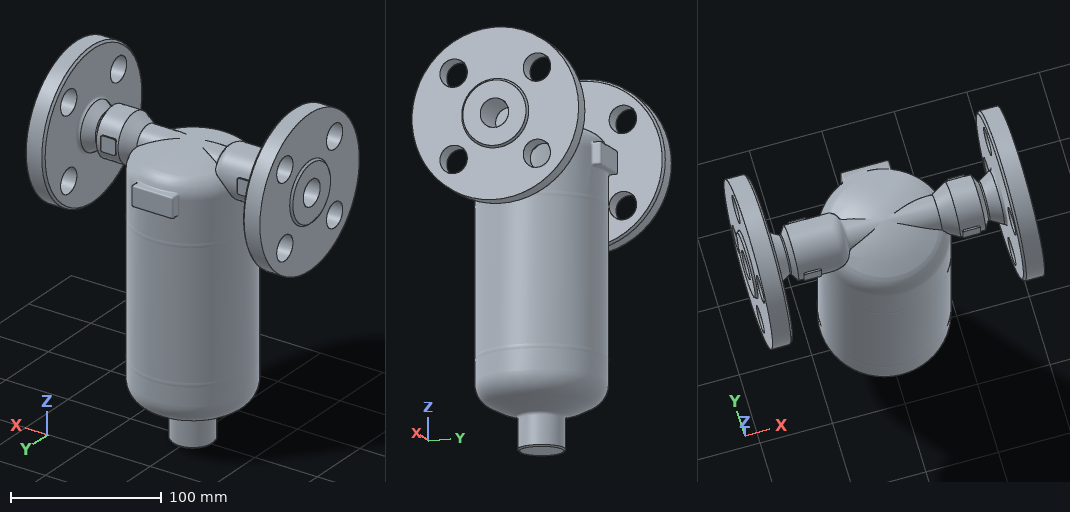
import cadquery as cq
import math

FLANGE_DIAMETER = 117.0
TOTAL_HEIGHT = 268.5
PIPE_AXIS_Z = TOTAL_HEIGHT - FLANGE_DIAMETER / 2

VESSEL_RADIUS = 89.0 / 2
KNUCKLE_RADIUS = 16.0
CROWN_RADIUS = 72.5
LOWER_KNUCKLE_Z = 45.5
DRAIN_RADIUS = 32.0 / 2
DRAIN_CHAMFER = 1.0
DRAIN_FILLET = 2.7
WELD_RADIUS = 89.1 / 2
WELD_WIDTH = 3.2
WELD_CENTERS_Z = (61.8, 165.5)

CROWN_ANGLE = math.asin((VESSEL_RADIUS - KNUCKLE_RADIUS) / (CROWN_RADIUS - KNUCKLE_RADIUS))
CROWN_EDGE_RADIUS = CROWN_RADIUS * math.sin(CROWN_ANGLE)
KNUCKLE_HEIGHT = KNUCKLE_RADIUS * math.cos(CROWN_ANGLE)
CROWN_CENTER_DROP = (CROWN_RADIUS - KNUCKLE_RADIUS) * math.cos(CROWN_ANGLE)
HEAD_HEIGHT = CROWN_RADIUS - CROWN_CENTER_DROP

BAR_RADIUS = 13.0
UPPER_KNUCKLE_Z = PIPE_AXIS_Z + BAR_RADIUS - HEAD_HEIGHT

FACE_END = 191.0 / 2
RAISED_FACE_HEIGHT = 1.5
RAISED_FACE_RADIUS = 44.3 / 2
RAISED_FACE_BASE_RADIUS = 47.0 / 2
FLANGE_OUTER = FACE_END - RAISED_FACE_HEIGHT
FLANGE_THICKNESS = 14.2
FLANGE_INNER = FLANGE_OUTER - FLANGE_THICKNESS
FLANGE_CHAMFER = 1.5
BORE_DIAMETER = 20.0
BOLT_HOLE_DIAMETER = 19.0
BOLT_CIRCLE_DIAMETER = 82.7
BOLT_COUNT = 4
FIRST_BOLT_ANGLE = 45

HUB_BASE_RADIUS = 21.0
HUB_RADIUS = 18.5
HUB_BASE_WIDTH = 2.1
NECK_RADIUS = 27.0 / 2
NECK_OUTER = 69.0
NECK_INNER = 68.0

BODY_RADIUS = 38.0 / 2
BODY_OUTER = 64.5
INLET_SHOULDER = 34.6
INLET_SHOULDER_RADIUS = 7.2
INLET_ROOT_RADIUS = 2.5
OUTLET_SHOULDER = 47.0
OUTLET_CONE_END = 36.2

PAD_SIZE = 12.0
PAD_CORNER_RADIUS = 1.5
PAD_FACE = BODY_RADIUS + 0.3
PAD_CENTER = 54.8

PLATE_WIDTH = 33.5
PLATE_FACE_Y = 47.8
PLATE_TOP_Z = 203.5
PLATE_HEIGHT = 16.0
PLATE_CORNER_RADIUS = 1.5
PLATE_EDGE_RADIUS = 1.3
PLATE_ROOT_RADIUS = 1.3


def head_point(angle, radius, center_radius, center_z, side):
    """Point on a head arc; side is 1 for the upper head and -1 for the lower head."""
    return (center_radius + radius * math.sin(angle), center_z + side * radius * math.cos(angle))


def make_vessel():
    knuckle_mid_angle = (CROWN_ANGLE + math.pi / 2) / 2
    knuckle_center = VESSEL_RADIUS - KNUCKLE_RADIUS
    lower_crown_z = LOWER_KNUCKLE_Z + CROWN_CENTER_DROP
    upper_crown_z = UPPER_KNUCKLE_Z - CROWN_CENTER_DROP

    fillet_center = DRAIN_RADIUS + DRAIN_FILLET
    fillet_angle = math.asin(fillet_center / (CROWN_RADIUS + DRAIN_FILLET))
    fillet_z = lower_crown_z - (CROWN_RADIUS + DRAIN_FILLET) * math.cos(fillet_angle)
    fillet_mid_angle = (math.pi / 2 + fillet_angle) / 2
    fillet_mid = head_point(-fillet_mid_angle, DRAIN_FILLET, fillet_center, fillet_z, 1)
    fillet_end = head_point(fillet_angle, CROWN_RADIUS, 0, lower_crown_z, -1)

    lower_mid_angle = (fillet_angle + CROWN_ANGLE) / 2
    profile = (
        cq.Workplane("XZ")
        .lineTo(DRAIN_RADIUS - DRAIN_CHAMFER, 0)
        .lineTo(DRAIN_RADIUS, DRAIN_CHAMFER)
        .lineTo(DRAIN_RADIUS, fillet_z)
        .threePointArc(fillet_mid, fillet_end)
        .threePointArc(
            head_point(lower_mid_angle, CROWN_RADIUS, 0, lower_crown_z, -1),
            (CROWN_EDGE_RADIUS, LOWER_KNUCKLE_Z - KNUCKLE_HEIGHT),
        )
        .threePointArc(
            head_point(knuckle_mid_angle, KNUCKLE_RADIUS, knuckle_center, LOWER_KNUCKLE_Z, -1),
            (VESSEL_RADIUS, LOWER_KNUCKLE_Z),
        )
    )
    for weld_z in WELD_CENTERS_Z:
        profile = profile.lineTo(VESSEL_RADIUS, weld_z - WELD_WIDTH / 2).threePointArc(
            (WELD_RADIUS, weld_z), (VESSEL_RADIUS, weld_z + WELD_WIDTH / 2)
        )
    profile = (
        profile.lineTo(VESSEL_RADIUS, UPPER_KNUCKLE_Z)
        .threePointArc(
            head_point(knuckle_mid_angle, KNUCKLE_RADIUS, knuckle_center, UPPER_KNUCKLE_Z, 1),
            (CROWN_EDGE_RADIUS, UPPER_KNUCKLE_Z + KNUCKLE_HEIGHT),
        )
        .threePointArc(
            head_point(CROWN_ANGLE / 2, CROWN_RADIUS, 0, upper_crown_z, 1),
            (0, UPPER_KNUCKLE_Z + HEAD_HEIGHT),
        )
        .close()
    )
    return profile.revolve(360, (0, 0, 0), (0, 1, 0))


def branch_outer_profile():
    """Common profile from the raised face to the body; first coordinate is distance from the vessel axis."""
    flange_radius = FLANGE_DIAMETER / 2
    hub_end = FLANGE_INNER - HUB_BASE_WIDTH
    return (
        cq.Workplane("XY")
        .lineTo(FACE_END, 0)
        .lineTo(FACE_END, RAISED_FACE_RADIUS)
        .lineTo(FLANGE_OUTER, RAISED_FACE_BASE_RADIUS)
        .lineTo(FLANGE_OUTER, flange_radius)
        .lineTo(FLANGE_INNER + FLANGE_CHAMFER, flange_radius)
        .lineTo(FLANGE_INNER, flange_radius - FLANGE_CHAMFER)
        .lineTo(FLANGE_INNER, HUB_BASE_RADIUS)
        .tangentArcPoint((hub_end, HUB_RADIUS), relative=False)
        .lineTo(NECK_OUTER, NECK_RADIUS)
        .lineTo(NECK_INNER, NECK_RADIUS)
        .lineTo(BODY_OUTER, BODY_RADIUS)
    )


def revolve_branch(profile):
    return profile.close().revolve(360, (0, 0, 0), (1, 0, 0))


def make_inlet():
    """Branch with a rounded shoulder that blends into the bar."""
    shoulder_center_radius = BODY_RADIUS - INLET_SHOULDER_RADIUS
    root_center_radius = BAR_RADIUS + INLET_ROOT_RADIUS
    center_rise = root_center_radius - shoulder_center_radius
    blend_angle = math.asin(center_rise / (INLET_SHOULDER_RADIUS + INLET_ROOT_RADIUS))
    root_x = INLET_SHOULDER - (INLET_SHOULDER_RADIUS + INLET_ROOT_RADIUS) * math.cos(blend_angle)
    blend_point = (
        INLET_SHOULDER - INLET_SHOULDER_RADIUS * math.cos(blend_angle),
        shoulder_center_radius + INLET_SHOULDER_RADIUS * math.sin(blend_angle),
    )
    profile = (
        branch_outer_profile()
        .lineTo(INLET_SHOULDER, BODY_RADIUS)
        .tangentArcPoint(blend_point, relative=False)
        .tangentArcPoint((root_x, BAR_RADIUS), relative=False)
        .lineTo(0, BAR_RADIUS)
    )
    return revolve_branch(profile).mirror("YZ")


def make_outlet():
    """Branch with a conical shoulder that runs down to the bar."""
    profile = (
        branch_outer_profile()
        .lineTo(OUTLET_SHOULDER, BODY_RADIUS)
        .lineTo(OUTLET_CONE_END, BAR_RADIUS)
        .lineTo(0, BAR_RADIUS)
    )
    return revolve_branch(profile)


def make_body_pads():
    """Square pads on the front and back of both bodies."""
    pad = cq.Workplane("XY").box(PAD_SIZE, 2 * PAD_FACE, PAD_SIZE).edges("|Y").fillet(PAD_CORNER_RADIUS)
    return pad.translate((PAD_CENTER, 0, 0)).union(pad.translate((-PAD_CENTER, 0, 0)))


def make_flange_holes():
    """Cutters for the bolt holes and the blind bore of both flanges."""
    holes = (
        cq.Workplane("YZ", origin=(-FACE_END, 0, 0))
        .polarArray(BOLT_CIRCLE_DIAMETER / 2, FIRST_BOLT_ANGLE, 360, BOLT_COUNT)
        .circle(BOLT_HOLE_DIAMETER / 2)
        .extrude(FACE_END - FLANGE_INNER)
    )
    bore = (
        cq.Workplane("YZ", origin=(-FACE_END, 0, 0))
        .circle(BORE_DIAMETER / 2)
        .extrude(FACE_END - BODY_OUTER)
    )
    one_side = holes.union(bore)
    return one_side.union(one_side.mirror("YZ"))


def add_name_plate(vessel):
    """Join the rounded plate to the vessel and fillet its root."""
    bottom_z = PLATE_TOP_Z - PLATE_HEIGHT
    plate = (
        cq.Workplane("XY")
        .box(PLATE_WIDTH, PLATE_FACE_Y, PLATE_HEIGHT, centered=(True, False, False))
        .edges("|Y")
        .fillet(PLATE_CORNER_RADIUS)
        .faces(">Y")
        .edges()
        .fillet(PLATE_EDGE_RADIUS)
        .translate((0, 0, bottom_z))
    )
    margin = 0.3
    half_width = PLATE_WIDTH / 2 + margin
    root_edges = cq.selectors.BoxSelector(
        (-half_width, VESSEL_RADIUS / 2, bottom_z - margin),
        (half_width, VESSEL_RADIUS + margin, PLATE_TOP_Z + margin),
        boundingbox=True,
    )
    return vessel.union(plate).edges(root_edges).fillet(PLATE_ROOT_RADIUS)


branches = make_inlet().union(make_outlet()).union(make_body_pads()).cut(make_flange_holes())
vessel_with_plate = add_name_plate(make_vessel())
result = vessel_with_plate.union(branches.translate((0, 0, PIPE_AXIS_Z)))